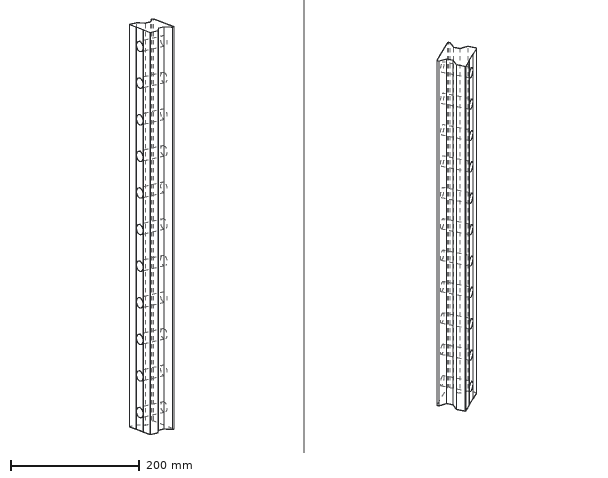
import cadquery as cq

length = 658.0
width = 53.0
depth = 48.0

waist_width = 33.5
back_flange_depth = 4.0
waist_start = 13.0
waist_end = 24.0
front_flange_start = 33.0
corner_chamfer = 1.0

groove_width = 18.0
groove_depth = 0.3

hole_count = 11
hole_diameter = 16.5
hole_pitch = 60.0

first_hole_z = (length - (hole_count - 1) * hole_pitch) / 2

half_width = width / 2
half_waist = waist_width / 2
back_y = depth / 2
front_y = -depth / 2


def make_rail():
    """Extrude the waisted section, symmetric about the YZ plane."""
    right_side = [
        (half_width - corner_chamfer, back_y),
        (half_width, back_y - corner_chamfer),
        (half_width, back_y - back_flange_depth),
        (half_waist, back_y - waist_start),
        (half_waist, back_y - waist_end),
        (half_width, back_y - front_flange_start),
        (half_width, front_y + corner_chamfer),
        (half_width - corner_chamfer, front_y),
    ]
    left_side = [(-x, y) for x, y in reversed(right_side)]
    return cq.Workplane("XY").polyline(right_side + left_side).close().extrude(length)


def make_groove():
    """Groove cutter centred on the front face, running the full length."""
    return (
        cq.Workplane("XY")
        .center(0, front_y)
        .rect(groove_width, 2 * groove_depth)
        .extrude(length)
    )


def make_holes():
    """Through-hole cutters along Y, in a row along the length."""
    centers = [(0, first_hole_z + index * hole_pitch) for index in range(hole_count)]
    return (
        cq.Workplane("XZ", origin=(0, back_y, 0))
        .pushPoints(centers)
        .circle(hole_diameter / 2)
        .extrude(depth)
    )


result = make_rail().cut(make_groove()).cut(make_holes())